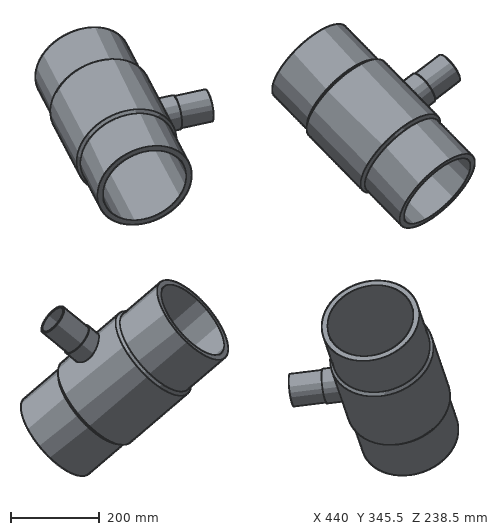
import cadquery as cq

pipe_length = 440.0
pipe_diameter = 225.0
bore_diameter = 198.0

sleeve_length = 199.8
sleeve_diameter = 238.5
sleeve_chamfer = (sleeve_diameter - pipe_diameter) / 2

branch_diameter = 75.0
branch_bore_diameter = 66.0
collar_diameter = 79.5
overall_width = 345.5
branch_end = overall_width - sleeve_diameter / 2
collar_end = 150.0


def cylinder_along_x(diameter, length):
    """Cylinder centred on the origin with its axis along X."""
    return cq.Workplane("YZ").circle(diameter / 2).extrude(length / 2, both=True)


def cylinder_along_y(diameter, end):
    """Cylinder from the main pipe axis out to the given Y position."""
    return cq.Workplane("XZ").circle(diameter / 2).extrude(-end)


pipe = cylinder_along_x(pipe_diameter, pipe_length)
sleeve = cylinder_along_x(sleeve_diameter, sleeve_length).edges().chamfer(sleeve_chamfer)
collar = cylinder_along_y(collar_diameter, collar_end)
branch = cylinder_along_y(branch_diameter, branch_end)

main_bore = cylinder_along_x(bore_diameter, pipe_length)
branch_bore = cylinder_along_y(branch_bore_diameter, branch_end)

result = pipe.union(sleeve).union(collar).union(branch).cut(main_bore).cut(branch_bore)